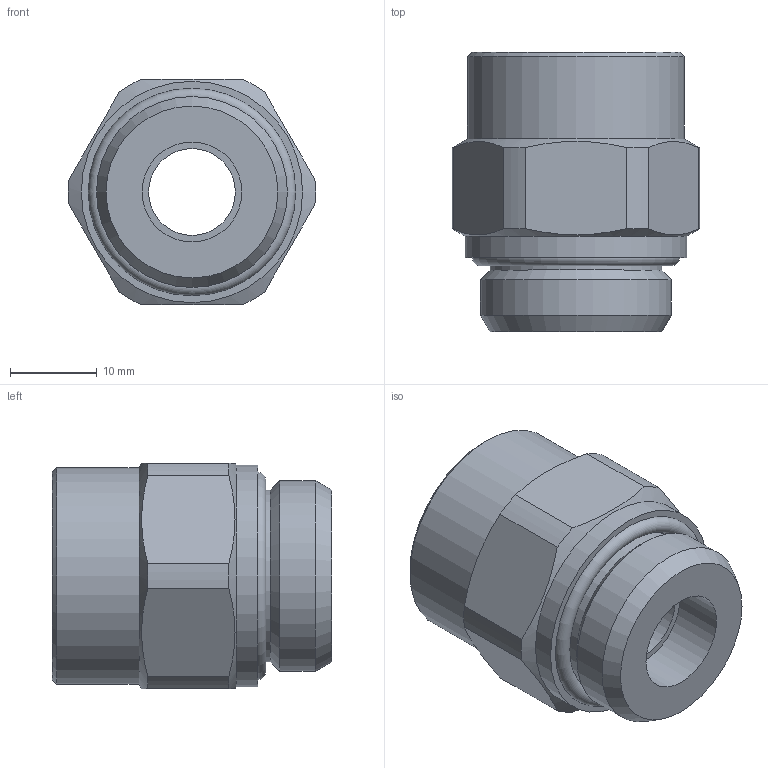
import cadquery as cq
import math


total_length = 32.2
socket_length = 10.0
hex_length = 11.2
flange_length = 2.45
thread_runout_start = 6.0

stud_radius = 22.0 / 2
undercut_radius = 19.8 / 2
flange_radius = 25.5 / 2
socket_radius = 25.0 / 2
across_flats = 26.0
hex_corner_radius = 28.48 / 2

ring_section_radius = 0.95
ring_centre_radius = 11.0

bevel_slope = math.tan(math.radians(30))
socket_chamfer = 0.5

bore_radius = 10.0 / 2
counterbore_radius = 11.5 / 2
counterbore_depth = 6.0

hex_rear = total_length - socket_length
hex_front = hex_rear - hex_length
flange_front = hex_front - flange_length
stud_bevel_end = (stud_radius - undercut_radius) / bevel_slope
undercut_start = thread_runout_start + stud_radius - undercut_radius


def revolve_about_y(profile):
    return profile.close().revolve(360, (0, 0, 0), (0, 1, 0))


def make_stud():
    """Stud with a bevelled nose and a 45 degree run-out into the undercut."""
    profile = (
        cq.Workplane("XY")
        .moveTo(0, 0)
        .lineTo(undercut_radius, 0)
        .lineTo(stud_radius, stud_bevel_end)
        .lineTo(stud_radius, thread_runout_start)
        .lineTo(undercut_radius, undercut_start)
        .lineTo(undercut_radius, hex_front)
        .lineTo(0, hex_front)
    )
    return revolve_about_y(profile)


def make_cylinder(radius, start, end):
    profile = (
        cq.Workplane("XY")
        .moveTo(0, start)
        .lineTo(radius, start)
        .lineTo(radius, end)
        .lineTo(0, end)
    )
    return revolve_about_y(profile)


def make_sealing_ring():
    """O-ring centred on the flange face, so its front half stands proud."""
    ring = cq.Solid.makeTorus(
        ring_centre_radius,
        ring_section_radius,
        cq.Vector(0, flange_front, 0),
        cq.Vector(0, 1, 0),
    )
    return cq.Workplane(ring)


def make_hexagon():
    """Hexagon with flats facing +Z and -Z, rounded corners and bevelled ends."""
    across_corners = across_flats / math.cos(math.pi / 6)
    prism = (
        cq.Workplane("XZ", origin=(0, hex_rear, 0))
        .polygon(6, across_corners)
        .extrude(hex_length)
    )
    front_bevel = (hex_corner_radius - flange_radius) * bevel_slope
    rear_bevel = (hex_corner_radius - socket_radius) * bevel_slope
    envelope = (
        cq.Workplane("XY")
        .moveTo(0, hex_front)
        .lineTo(flange_radius, hex_front)
        .lineTo(hex_corner_radius, hex_front + front_bevel)
        .lineTo(hex_corner_radius, hex_rear - rear_bevel)
        .lineTo(socket_radius, hex_rear)
        .lineTo(0, hex_rear)
    )
    return prism.intersect(revolve_about_y(envelope))


def make_socket():
    socket = make_cylinder(socket_radius, hex_rear, total_length)
    return socket.faces(">Y").edges().chamfer(socket_chamfer)


def make_bore():
    """Through bore, widened from the stud end."""
    through_bore = make_cylinder(bore_radius, 0, total_length)
    return through_bore.union(make_cylinder(counterbore_radius, 0, counterbore_depth))


body = (
    make_stud()
    .union(make_cylinder(flange_radius, flange_front, hex_front))
    .union(make_sealing_ring())
    .union(make_hexagon())
    .union(make_socket())
)

result = body.cut(make_bore())